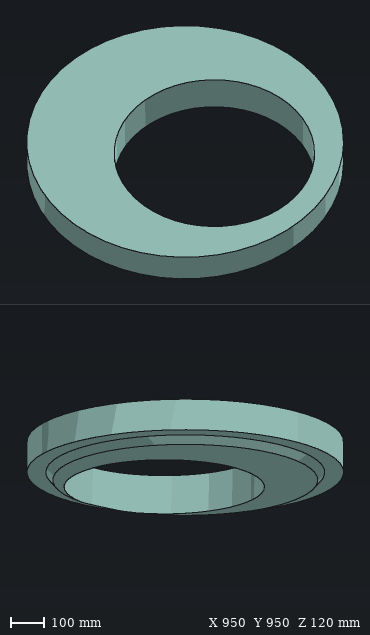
import cadquery as cq

disc_diameter = 950.0
total_height = 120.0
lip_height = 24.0
disc_thickness = total_height - lip_height

lip_top_diameter = 836.0
lip_bottom_diameter = 794.0

opening_diameter = 600.0
opening_offset = 100.0


def make_disc():
    return cq.Workplane("XY").workplane(offset=lip_height).circle(disc_diameter / 2).extrude(disc_thickness)


def make_lip():
    """Cone frustum, narrow at the base and widening up to the disc."""
    profile = [
        (0, 0),
        (lip_bottom_diameter / 2, 0),
        (lip_top_diameter / 2, lip_height),
        (0, lip_height),
    ]
    return cq.Workplane("XZ").polyline(profile).close().revolve(360, (0, 0), (0, 1))


def make_opening():
    return cq.Workplane("XY").center(opening_offset, 0).circle(opening_diameter / 2).extrude(total_height)


result = make_disc().union(make_lip()).cut(make_opening())